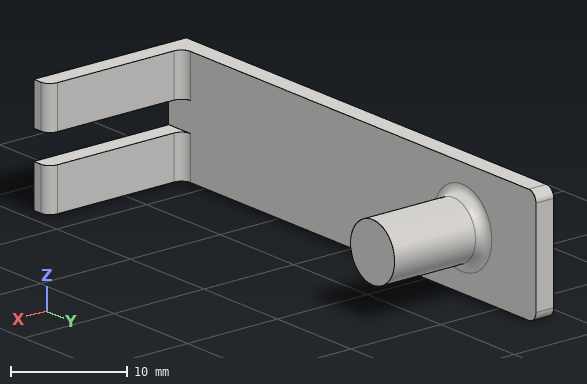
import cadquery as cq

length = 50.0
height = 12.0
thickness = 2.0
edge_radius = 1.0

arm_reach = 15.0
arm_gap = 3.0

pin_diameter = 6.0
pin_length = 10.0
pin_y = 40.0

overall_width = thickness + arm_reach


def make_plate():
    """Flat plate with its two +Y corners rounded."""
    plate = cq.Workplane("XY").box(thickness, length, height, centered=(False, False, True))
    return plate.edges("|X and >Y").fillet(edge_radius)


def make_flange():
    """Flange along the -Y end, with its inner tip edge rounded."""
    flange = cq.Workplane("XY").box(overall_width, thickness, height, centered=(False, False, True))
    return flange.edges("|Z and >X and >Y").fillet(edge_radius)


def make_slot():
    """Central cutter that splits the flange and its corner fillet into two arms."""
    return (
        cq.Workplane("XY", origin=(thickness, 0, 0))
        .box(arm_reach, thickness + edge_radius, arm_gap, centered=(False, False, True))
    )


def make_pin():
    """Plain round pin rising from the plate along +X."""
    return (
        cq.Workplane("YZ", origin=(thickness, pin_y, 0))
        .circle(pin_diameter / 2)
        .extrude(pin_length)
    )


bracket = make_plate().union(make_flange())

inside_corner = cq.selectors.NearestToPointSelector((thickness, thickness, 0))
bracket = bracket.edges(inside_corner).fillet(edge_radius).cut(make_slot())

pin_root = cq.selectors.NearestToPointSelector((thickness, pin_y, 0))
result = bracket.union(make_pin()).edges(pin_root).fillet(edge_radius)